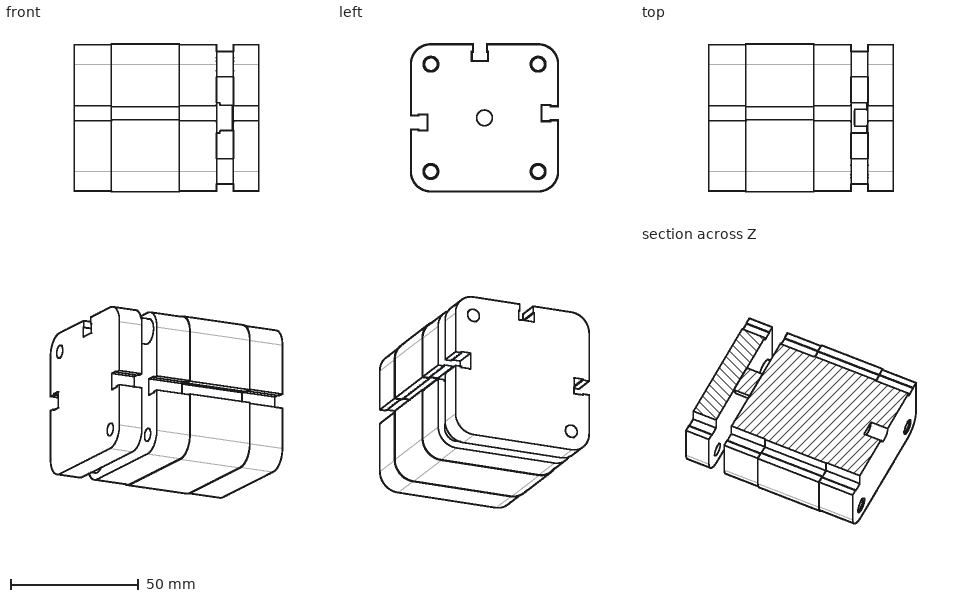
import cadquery as cq

TOTAL_LENGTH = 72.5
PLATE_THICKNESS = 10.0
CAP_LENGTH = 14.65
HOUSING_LENGTH = 55.9
PLATE_START = TOTAL_LENGTH - PLATE_THICKNESS
GAP = PLATE_START - HOUSING_LENGTH

BARREL_WIDTH = 58.0
BARREL_STEP = 0.255
CAP_WIDTH = BARREL_WIDTH - 2 * BARREL_STEP
HOLE_OFFSET = 21.0
CAP_CORNER_RADIUS = CAP_WIDTH / 2 - HOLE_OFFSET

SLOT_OFFSET = 1.8
SLOT_MOUTH_WIDTH = 5.7
SLOT_UNDERCUT_WIDTH = 6.6
SLOT_LIP_DEPTH = 2.7
SLOT_DEPTH = 6.5
SLOT_ANGLES = (-90, 0, 90)

SCREW_HOLE_DIAMETER = 5.1
SCREW_HOLE_CHAMFER = 0.5
SCREW_HOLE_DEPTH = 18.1
CENTRE_HOLE_DIAMETER = 6.15
CENTRE_HOLE_DEPTH = 7.25

GUIDE_DIAMETER = 10.0
ROD_DIAMETER = 11.95
ROD_CHAMFER_LENGTH = 0.5
ROD_CHAMFER_DEPTH = 0.3
ACROSS_FLATS = 10.0
FLAT_START = 1.45
FLAT_RUN_IN = 0.3

GUIDE_POSITIONS = [(HOLE_OFFSET, HOLE_OFFSET), (-HOLE_OFFSET, -HOLE_OFFSET)]
THROUGH_HOLE_POSITIONS = [(-HOLE_OFFSET, HOLE_OFFSET), (HOLE_OFFSET, -HOLE_OFFSET)]


def cross_plane(x):
    """Plane across the X axis whose local axes are Y and Z."""
    return cq.Workplane("YZ", origin=(x, 0, 0))


def slot_band(x, length, width, bottom, top):
    """Block of the slot cross-section between two heights."""
    return cross_plane(x).center(SLOT_OFFSET, (bottom + top) / 2).rect(width, top - bottom).extrude(length)


def slot_cutter(x, length, inset):
    """T-slot in the top side; inset moves all its faces towards the inside of the slot."""
    cap_top = CAP_WIDTH / 2
    floor = cap_top - SLOT_DEPTH + inset
    lip_underside = cap_top - SLOT_LIP_DEPTH - inset
    mouth = slot_band(x, length, SLOT_MOUTH_WIDTH - 2 * inset, floor, BARREL_WIDTH / 2)
    undercut = slot_band(x, length, SLOT_UNDERCUT_WIDTH - 2 * inset, floor, lip_underside)
    return mouth.union(undercut)


def slotted_block(x, length, proud=0.0):
    """Rounded square block with T-slots; proud grows its outline outwards."""
    width = CAP_WIDTH + 2 * proud
    block = cross_plane(x).rect(width, width).extrude(length)
    block = block.edges("|X").fillet(CAP_CORNER_RADIUS + proud)
    for angle in SLOT_ANGLES:
        slot = slot_cutter(x, length, proud)
        block = block.cut(slot.rotate((0, 0, 0), (1, 0, 0), angle))
    return block


def screw_hole_cutter(position, depth):
    """Hole into the rear face with a chamfered mouth."""
    mouth_diameter = SCREW_HOLE_DIAMETER + 2 * SCREW_HOLE_CHAMFER
    bore = cross_plane(0).center(*position).circle(SCREW_HOLE_DIAMETER / 2).extrude(depth)
    mouth = cross_plane(0).center(*position).circle(mouth_diameter / 2)
    mouth = mouth.extrude(SCREW_HOLE_CHAMFER, taper=45)
    return bore.union(mouth)


def make_housing():
    """Barrel between two equal caps, with the mounting holes in its rear face."""
    barrel_length = HOUSING_LENGTH - 2 * CAP_LENGTH
    housing = slotted_block(0, CAP_LENGTH)
    housing = housing.union(slotted_block(CAP_LENGTH, barrel_length, BARREL_STEP))
    housing = housing.union(slotted_block(CAP_LENGTH + barrel_length, CAP_LENGTH))
    for position in THROUGH_HOLE_POSITIONS:
        housing = housing.cut(screw_hole_cutter(position, HOUSING_LENGTH))
    for position in GUIDE_POSITIONS:
        housing = housing.cut(screw_hole_cutter(position, SCREW_HOLE_DEPTH))
    centre_hole = cross_plane(0).circle(CENTRE_HOLE_DIAMETER / 2).extrude(CENTRE_HOLE_DEPTH)
    return housing.cut(centre_hole)


def make_plate():
    """Front plate, with holes in line with the through holes of the housing."""
    plate = slotted_block(PLATE_START, PLATE_THICKNESS)
    holes = cross_plane(PLATE_START).pushPoints(THROUGH_HOLE_POSITIONS)
    holes = holes.circle(SCREW_HOLE_DIAMETER / 2).extrude(PLATE_THICKNESS)
    return plate.cut(holes)


def make_piston_rod():
    """Rod end with a chamfer and two wrench flats facing up and down."""
    outer_radius = ROD_DIAMETER / 2
    rod = (
        cq.Workplane("XZ")
        .moveTo(HOUSING_LENGTH, 0)
        .lineTo(HOUSING_LENGTH, outer_radius)
        .lineTo(PLATE_START - ROD_CHAMFER_LENGTH, outer_radius)
        .lineTo(PLATE_START, outer_radius - ROD_CHAMFER_DEPTH)
        .lineTo(PLATE_START, 0)
        .close()
        .revolve(360, (0, 0, 0), (1, 0, 0))
    )
    flat_x = HOUSING_LENGTH + FLAT_START
    flat_z = ACROSS_FLATS / 2
    flat = (
        cq.Workplane("XZ")
        .moveTo(flat_x, flat_z)
        .lineTo(flat_x - FLAT_RUN_IN, outer_radius)
        .lineTo(PLATE_START, outer_radius)
        .lineTo(PLATE_START, flat_z)
        .close()
        .extrude(outer_radius, both=True)
    )
    return rod.cut(flat).cut(flat.mirror("XY"))


def make_guide_rod(position):
    """Plain guide rod between the housing and the plate."""
    return cross_plane(HOUSING_LENGTH).center(*position).circle(GUIDE_DIAMETER / 2).extrude(GAP)


housing = make_housing()
plate = make_plate()
piston_rod = make_piston_rod()
guide_rods = [make_guide_rod(position).val() for position in GUIDE_POSITIONS]

result = cq.Compound.makeCompound([housing.val(), plate.val(), piston_rod.val(), *guide_rods])